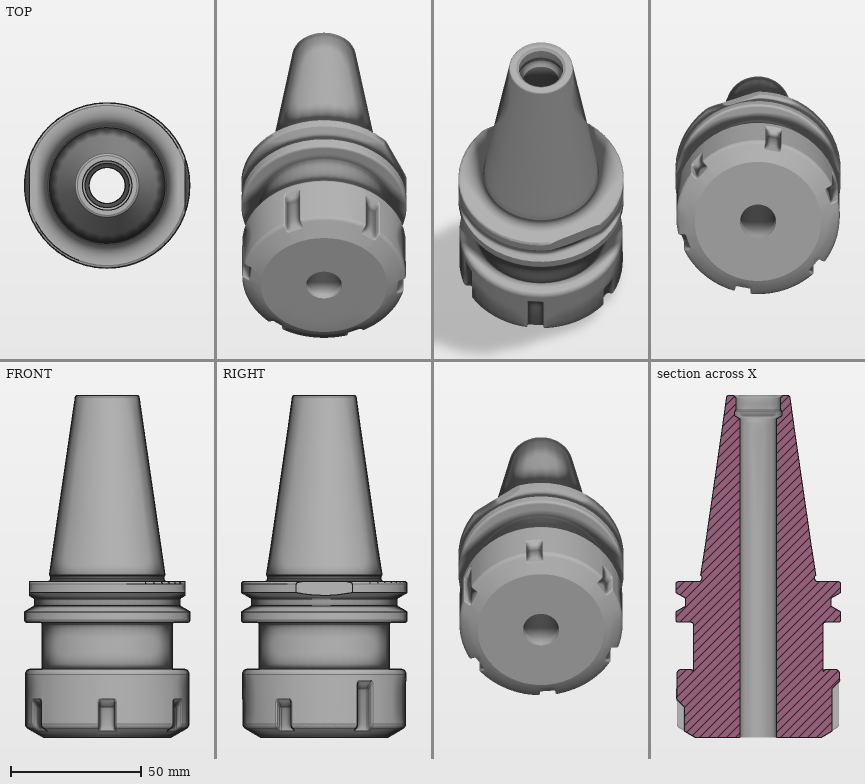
import cadquery as cq
import math


total_height = 131.4

nut_radius = 31.4
nut_height = 26.3
nut_face_radius = 24.3
nut_cone_angle = 30.0
nut_cone_height = (nut_radius - nut_face_radius) * math.tan(math.radians(nut_cone_angle))
nut_edge_round = 2.0
nut_recess = 1.0

neck_radius = 25.0
neck_fillet = 0.8

flange_radius = 31.775
flange_bottom = 44.2
flange_top = 59.95
flange_edge_round = 1.0
flat_distance = 29.9

groove_middle = 52.0
groove_root_radius = 28.0
groove_root_width = 3.0
groove_root_fillet = 0.4
groove_wall_angle = 30.0
groove_wall_height = (flange_radius - groove_root_radius) * math.tan(math.radians(groove_wall_angle))

taper_ratio = 7 / 24
taper_foot_radius = 22.225
taper_foot = 62.4
taper_top_radius = taper_foot_radius - (total_height - taper_foot) * taper_ratio / 2
taper_edge_round = 0.8
relief_radius = 21.8
relief_fillet = 1.1

bore_radius = 6.9
counterbore_radius = 8.5
counterbore_depth = 5.3
undercut_radius = 9.0
undercut_flare = 1.2
undercut_width = 2.5
bore_cone_angle = 30.0
counterbore_chamfer = 1.0

slot_count = 6
slot_width = 6.1
slot_floor_radius = 28.4
slot_roof_angle = 45.0
slot_corner_round = 0.5
slot_rim_round = 0.5
short_slot_height = 11.8
tall_slot_height = 18.8

clearance = 1.0
tolerance = 0.01


def turned_body():
    """Solid of revolution with every outer diameter and its rounded edges."""
    groove_low = groove_middle - groove_root_width / 2
    groove_high = groove_middle + groove_root_width / 2
    relief_top = taper_foot - (taper_foot_radius - relief_radius)
    profile = (
        cq.Workplane("XZ")
        .moveTo(0, 0)
        .lineTo(nut_face_radius, 0)
        .lineTo(nut_radius, nut_cone_height)
        .lineTo(nut_radius, nut_height)
        .lineTo(neck_radius + nut_recess, nut_height)
        .lineTo(neck_radius, nut_height - nut_recess)
        .lineTo(neck_radius, flange_bottom)
        .lineTo(flange_radius, flange_bottom)
        .lineTo(flange_radius, groove_low - groove_wall_height)
        .lineTo(groove_root_radius, groove_low)
        .lineTo(groove_root_radius, groove_high)
        .lineTo(flange_radius, groove_high + groove_wall_height)
        .lineTo(flange_radius, flange_top)
        .lineTo(relief_radius, flange_top)
        .lineTo(relief_radius, relief_top)
        .lineTo(taper_foot_radius, taper_foot)
        .lineTo(taper_top_radius, total_height)
        .lineTo(0, total_height)
        .close()
    )
    body = profile.revolve(360, (0, 0, 0), (0, 1, 0))
    body = round_circles(body, nut_radius, nut_cone_height, nut_edge_round)
    body = round_circles(body, nut_radius, nut_height, nut_edge_round)
    body = round_circles(body, neck_radius, flange_bottom, neck_fillet)
    body = round_circles(body, flange_radius, flange_bottom, flange_edge_round)
    body = round_circles(body, flange_radius, flange_top, flange_edge_round)
    body = round_circles(body, relief_radius, flange_top, relief_fillet)
    body = round_circles(body, groove_root_radius, groove_low, groove_root_fillet)
    body = round_circles(body, groove_root_radius, groove_high, groove_root_fillet)
    return round_circles(body, taper_top_radius, total_height, taper_edge_round)


def round_circles(body, radius, height, fillet_radius):
    """Fillet the circular edge of the given radius at the given height."""
    edges = [
        edge
        for edge in body.edges("%CIRCLE").vals()
        if abs(edge.radius() - radius) < tolerance and abs(edge.Center().z - height) < tolerance
    ]
    return body.newObject(edges).fillet(fillet_radius)


def bore():
    """Through bore; at the taper end a chamfered counterbore, a flared undercut and a cone."""
    undercut_top = total_height - counterbore_depth
    undercut_bottom = undercut_top - undercut_width
    cone_height = (undercut_radius - bore_radius) * math.tan(math.radians(bore_cone_angle))
    cone_bottom = undercut_bottom - cone_height
    return (
        cq.Workplane("XZ")
        .moveTo(0, 0)
        .lineTo(bore_radius, 0)
        .lineTo(bore_radius, cone_bottom)
        .lineTo(undercut_radius, undercut_bottom)
        .lineTo(undercut_radius, undercut_top - undercut_flare)
        .lineTo(counterbore_radius, undercut_top)
        .lineTo(counterbore_radius, total_height - counterbore_chamfer)
        .lineTo(counterbore_radius + counterbore_chamfer, total_height)
        .lineTo(0, total_height)
        .close()
        .revolve(360, (0, 0, 0), (0, 1, 0))
    )


def drive_flats():
    """Two blocks that flatten the upper half of the flange on the -X and +X sides."""
    depth = flange_radius - flat_distance + clearance
    height = flange_top - groove_middle + clearance
    block = cq.Workplane("XY").box(depth, 2 * flange_radius, height, centered=(False, True, False))
    right = block.translate((flat_distance, 0, groove_middle))
    return right.union(right.mirror("YZ"))


def wrench_slot(floor_top, angle):
    """Slot cutter open at the nut face, with a sloped roof, turned to the given angle."""
    outer = nut_radius + clearance
    roof_rise = (outer - slot_floor_radius) * math.tan(math.radians(slot_roof_angle))
    cutter = (
        cq.Workplane("XZ")
        .moveTo(slot_floor_radius, -clearance)
        .lineTo(outer, -clearance)
        .lineTo(outer, floor_top + roof_rise)
        .lineTo(slot_floor_radius, floor_top)
        .close()
        .extrude(slot_width / 2, both=True)
    )
    cutter = cutter.edges("not(>X or <Z)").fillet(slot_corner_round)
    return cutter.rotate((0, 0, 0), (0, 0, 1), angle)


def cut_wrench_slots(body):
    """Cut tall slots on the +Y half of the nut and short slots on the -Y half."""
    step = 360 / slot_count
    for index in range(slot_count):
        angle = step / 2 + index * step
        floor_top = tall_slot_height if angle < 180 else short_slot_height
        body = body.cut(wrench_slot(floor_top, angle))
    return body


def round_slot_rims(body):
    """Fillet the sides and roof of every slot where they meet the nut's outer cylinder."""
    cylinder_bottom = nut_cone_height + nut_edge_round * math.tan(math.radians(nut_cone_angle))
    cylinder_top = nut_height - nut_edge_round
    rim_edges = []
    for edge in body.edges().vals():
        box = edge.BoundingBox()
        middle = edge.positionAt(0.5)
        on_surface = math.hypot(middle.x, middle.y) > nut_radius - tolerance
        within_cylinder = box.zmin > cylinder_bottom - tolerance and box.zmax < cylinder_top - tolerance
        is_slot_edge = box.zmax - box.zmin > tolerance
        if on_surface and within_cylinder and is_slot_edge:
            rim_edges.append(edge)
    return body.newObject(rim_edges).fillet(slot_rim_round)


result = turned_body().cut(bore()).cut(drive_flats())
result = round_slot_rims(cut_wrench_slots(result))